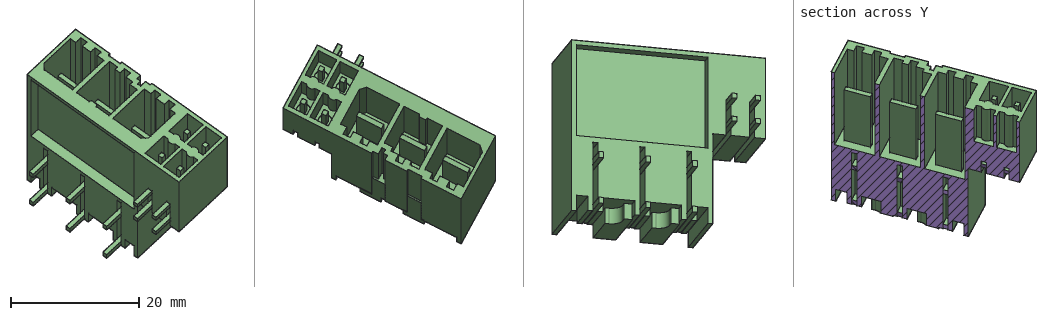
import cadquery as cq


LENGTH = 31.45
DEPTH = 11.5
HEIGHT = 28.3
POWER_LENGTH = 22.9
SIGNAL_BOTTOM = 14.95
POWER_WALL = 0.8
SIGNAL_WALL = 0.72

POWER_PITCH = 7.6
POWER_CENTRE = POWER_LENGTH / 2
POWER_XS = [POWER_CENTRE + step * POWER_PITCH for step in (-1, 0, 1)]
POWER_FLOOR = 12.5
POCKET_FRONT = 2.45
POCKET_BACK = 10.82
RIB_FACE = 9.75
CORNER_CUT = 0.85
CODING_BUMP_WIDTH = 1.45
CODING_BUMP_TOP_WIDTH = 1.07
CODING_BUMP_RISE = 0.38

PANEL_TOP = 27.55
PANEL_DEPTH = 1.73

METAL = 0.8
BLADE_WIDTH = 4.4
BLADE_FRONT = 5.45
BLADE_BACK = BLADE_FRONT + METAL
BLADE_TOP = 23.6
POWER_SLOT_TOP = 11.65
LEG_HEIGHT = 0.97
LOWER_LEG_Z = 0.38
UPPER_LEG_Z = 7.95
LEG_REACH = 3.4

OPENING_HEIGHT = 2.58
POST_WIDTH = 2.45
POST_BOTTOM = 0.25
FOOT_WIDTH = 3.68
FOOT_OFFSET = 2.8
FOOT_FRONT = 1.6
FOOT_FLAT = 0.63
FOOT_RADIUS = 1.7
FOOT_STEP_Y = 4.4

GROOVE_SKIN = 0.13
GROOVE_DEPTH = 0.38
GROOVE_1 = (7.1, 9.55)
GROOVE_2 = (13.45, 15.8)
KEY_SLOT = (14.18, 14.8)
KEY_SHOULDER_DEPTH = 0.85
KEY_SLOT_DEPTH = 1.55

SIGNAL_XS = (25.45, 29.25)
FRONT_PIN_Y = 2.83
BACK_PIN_Y = 8.8
SIGNAL_FLOOR = 21.4
SIGNAL_POCKET_WIDTH = 3.2
SIGNAL_POCKET_DEPTH = 4.4
SIGNAL_MIDDLE = DEPTH / 2
RIDGE_RADIUS = 0.88
RIDGE_RISE = 0.38
RING_RADIUS = 1.13
RING_DEPTH = 0.3
PIN_TOP = 27.05
FRONT_LEG_Z = 19.95
BACK_LEG_Z = 16.1
BACK_SLOT_TOP = 17.35


def block(x, y, z):
    """A box given by its (low, high) limits along each axis."""
    size = (x[1] - x[0], y[1] - y[0], z[1] - z[0])
    return cq.Workplane("XY").box(*size, centered=False).translate((x[0], y[0], z[0]))


def around(centre, width):
    """The (low, high) limits of a width about its centre."""
    return (centre - width / 2, centre + width / 2)


def prism(points, z):
    """An outline in X and Y, extruded between two heights."""
    return cq.Workplane("XY").workplane(offset=z[0]).polyline(points).close().extrude(z[1] - z[0])



def power_contact(x):
    """A wide blade on a narrow stem with two solder legs."""
    stem_x = around(x, METAL)
    blade_y = (BLADE_FRONT, BLADE_BACK)
    blade = block(around(x, BLADE_WIDTH), blade_y, (POWER_SLOT_TOP, BLADE_TOP))
    stem = block(stem_x, blade_y, (LOWER_LEG_Z, POWER_SLOT_TOP))
    contact = blade.union(stem)
    for leg_z in (LOWER_LEG_Z, UPPER_LEG_Z):
        contact = contact.union(block(stem_x, (-LEG_REACH, BLADE_BACK), (leg_z, leg_z + LEG_HEIGHT)))
    return contact


def signal_pin(x, y, leg_z):
    """A square pin bent to one solder leg."""
    pin_x = around(x, METAL)
    upright = block(pin_x, around(y, METAL), (leg_z, PIN_TOP))
    leg = block(pin_x, (-LEG_REACH, y + METAL / 2), (leg_z, leg_z + METAL))
    return upright.union(leg)



def housing_body():
    power = block((0, POWER_LENGTH), (0, DEPTH), (0, HEIGHT))
    signal = block((POWER_LENGTH, LENGTH), (0, DEPTH), (SIGNAL_BOTTOM, HEIGHT))
    return power.union(signal)


def outer_power_pocket():
    """Left plug pocket, with two keyways behind it; the right one is its mirror image."""
    left, right = 0.6, 7.25
    left_key = (1.7, 2.95)
    right_key = (4.65, 5.88)
    left_shoulder, right_shoulder = 9.6, 9.9
    outline = [
        (left + CORNER_CUT, POCKET_FRONT),
        (right, POCKET_FRONT),
        (right, right_shoulder),
        (right_key[1], right_shoulder),
        (right_key[1], POCKET_BACK),
        (right_key[0], POCKET_BACK),
        (right_key[0], RIB_FACE),
        (left_key[1], RIB_FACE),
        (left_key[1], POCKET_BACK),
        (left_key[0], POCKET_BACK),
        (left_key[0], left_shoulder),
        (left, left_shoulder),
        (left, POCKET_FRONT + CORNER_CUT),
    ]
    return prism(outline, (POWER_FLOOR, HEIGHT))


def middle_power_pocket():
    """Middle plug pocket, with its own key outline and a coding bump in front."""
    left, right = 8.08, 14.85
    left_rib = (9.7, 10.75)
    right_rib = (11.98, 13.35)
    left_shoulder, right_shoulder = 10.35, 9.1
    bump_back = POCKET_FRONT + CODING_BUMP_RISE
    bump_foot = around(POWER_CENTRE, CODING_BUMP_WIDTH)
    bump_top = around(POWER_CENTRE, CODING_BUMP_TOP_WIDTH)
    outline = [
        (left, POCKET_FRONT),
        (bump_foot[0], POCKET_FRONT),
        (bump_top[0], bump_back),
        (bump_top[1], bump_back),
        (bump_foot[1], POCKET_FRONT),
        (right, POCKET_FRONT),
        (right, right_shoulder),
        (right_rib[1], right_shoulder),
        (right_rib[1], RIB_FACE),
        (right_rib[0], RIB_FACE),
        (right_rib[0], POCKET_BACK),
        (left_rib[1], POCKET_BACK),
        (left_rib[1], RIB_FACE),
        (left_rib[0], RIB_FACE),
        (left_rib[0], left_shoulder),
        (left, left_shoulder),
    ]
    return prism(outline, (POWER_FLOOR, HEIGHT))


def power_slot(x):
    """Slot in the mounting face that takes the legs and stem of a power contact."""
    return block(around(x, METAL), (0, BLADE_BACK), (0, POWER_SLOT_TOP))


def panel_recess():
    return block((POWER_WALL, POWER_LENGTH - POWER_WALL), (0, PANEL_DEPTH), (POWER_FLOOR, PANEL_TOP))


def bottom_opening():
    """Opening between the side walls, right through in Y, with a post at each contact and two feet."""
    opening = block((POWER_WALL, POWER_LENGTH - POWER_WALL), (0, DEPTH), (0, OPENING_HEIGHT))
    for x in POWER_XS:
        post = block(around(x, POST_WIDTH), (0, BLADE_BACK), (POST_BOTTOM, OPENING_HEIGHT))
        opening = opening.cut(post)
    for x in POWER_XS[:-1]:
        opening = opening.cut(foot(x + FOOT_OFFSET))
    return opening


def foot(left):
    """Foot with a step in its front, hollowed by a quarter round in the inside corner."""
    right = left + FOOT_WIDTH
    step_x = left + FOOT_FLAT + FOOT_RADIUS
    arc_front = FOOT_STEP_Y - FOOT_RADIUS
    half_chord = FOOT_RADIUS * 0.5 ** 0.5
    arc_middle = (left + FOOT_FLAT + half_chord, arc_front + half_chord)
    return (
        cq.Workplane("XY")
        .moveTo(left, FOOT_STEP_Y)
        .lineTo(left + FOOT_FLAT, FOOT_STEP_Y)
        .threePointArc(arc_middle, (step_x, arc_front))
        .lineTo(step_x, FOOT_FRONT)
        .lineTo(right, FOOT_FRONT)
        .lineTo(right, DEPTH - GROOVE_SKIN)
        .lineTo(left, DEPTH - GROOVE_SKIN)
        .close()
        .extrude(OPENING_HEIGHT)
    )


def back_groove(limits):
    """Groove down the back face, deeper beside the plug pockets."""
    skin = block(limits, (DEPTH - GROOVE_SKIN, DEPTH), (0, HEIGHT))
    deep = block(limits, (DEPTH - GROOVE_DEPTH, DEPTH), (POWER_FLOOR, HEIGHT))
    return skin.union(deep)


def key_slot():
    """Stepped slot that opens into the second groove."""
    slot_z = (POWER_FLOOR, HEIGHT)
    shoulder = block((GROOVE_2[0], KEY_SLOT[1]), (DEPTH - KEY_SHOULDER_DEPTH, DEPTH), slot_z)
    slot = block(KEY_SLOT, (DEPTH - KEY_SLOT_DEPTH, DEPTH), slot_z)
    return shoulder.union(slot)


def signal_pocket(x, y, outer_side):
    """Plug pocket of one signal pin, with a ring recess round the pin."""
    near_middle = SIGNAL_MIDDLE + outer_side * (SIGNAL_MIDDLE - SIGNAL_WALL - SIGNAL_POCKET_DEPTH)
    near_wall = near_middle + outer_side * SIGNAL_POCKET_DEPTH
    limits_y = (min(near_middle, near_wall), max(near_middle, near_wall))
    pocket = block(around(x, SIGNAL_POCKET_WIDTH), limits_y, (SIGNAL_FLOOR, HEIGHT))
    ridge_y = near_middle - outer_side * (RIDGE_RADIUS - RIDGE_RISE)
    ridge = (
        cq.Workplane("XY")
        .workplane(offset=SIGNAL_FLOOR)
        .center(x, ridge_y)
        .circle(RIDGE_RADIUS)
        .extrude(HEIGHT - SIGNAL_FLOOR)
    )
    ring = (
        cq.Workplane("XY")
        .workplane(offset=SIGNAL_FLOOR - RING_DEPTH)
        .center(x, y)
        .circle(RING_RADIUS)
        .extrude(RING_DEPTH)
    )
    return pocket.cut(ridge).union(ring)


def signal_slot(x):
    """Slot for both signal legs: shallow for the front row, right through below the back row."""
    slot_x = around(x, METAL)
    shallow = block(slot_x, (0, FRONT_PIN_Y + METAL / 2), (SIGNAL_BOTTOM, FRONT_LEG_Z + METAL))
    through = block(slot_x, (0, DEPTH), (SIGNAL_BOTTOM, BACK_SLOT_TOP))
    return shallow.union(through)


power_contacts = [power_contact(x) for x in POWER_XS]
signal_pins = []
for pin_x in SIGNAL_XS:
    signal_pins.append(signal_pin(pin_x, FRONT_PIN_Y, FRONT_LEG_Z))
    signal_pins.append(signal_pin(pin_x, BACK_PIN_Y, BACK_LEG_Z))

housing = housing_body().cut(panel_recess()).cut(bottom_opening())

left_pocket = outer_power_pocket()
right_pocket = left_pocket.mirror("YZ", (POWER_CENTRE, 0, 0))
for cutter in (left_pocket, middle_power_pocket(), right_pocket):
    housing = housing.cut(cutter)

for cutter in (back_groove(GROOVE_1), back_groove(GROOVE_2), key_slot()):
    housing = housing.cut(cutter)

for slot_x in POWER_XS:
    housing = housing.cut(power_slot(slot_x))

for pocket_x in SIGNAL_XS:
    housing = housing.cut(signal_slot(pocket_x))
    housing = housing.cut(signal_pocket(pocket_x, FRONT_PIN_Y, -1))
    housing = housing.cut(signal_pocket(pocket_x, BACK_PIN_Y, 1))

for metal_part in power_contacts + signal_pins:
    housing = housing.cut(metal_part)

result = cq.Compound.makeCompound(
    [housing.val()]
    + [contact.val() for contact in power_contacts]
    + [pin.val() for pin in signal_pins]
)